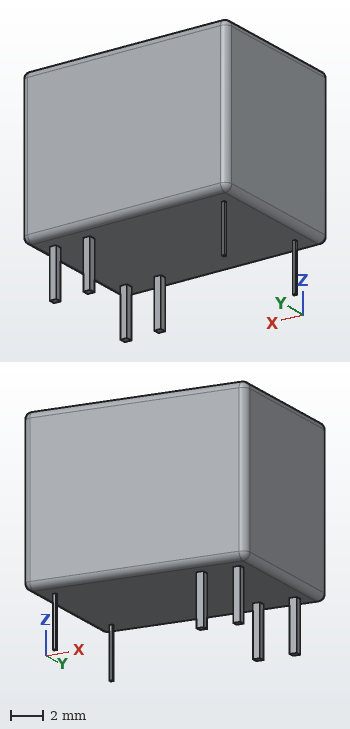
import cadquery as cq

length = 15.5
width = 11.0
pin_length = 3.6
housing_height = 15.1 - pin_length
edge_radius = 0.5

grid = 2.54
row_y = 1.5 * grid
thin_pin_x = -2.5 * grid
thick_pin_xs = (1.5 * grid, 2.5 * grid)
thin_pin_side = 0.2
thick_pin_side = 0.5
pin_embed = 2 * edge_radius


def make_housing():
    box = cq.Workplane("XY").box(length, width, housing_height, centered=(True, True, False))
    return box.edges().fillet(edge_radius)


def make_pin(x, y, side):
    """Square pin from its tip below the housing up into the housing."""
    return (
        cq.Workplane("XY", origin=(x, y, -pin_length))
        .rect(side, side)
        .extrude(pin_length + pin_embed)
    )


result = make_housing()
for y in (-row_y, row_y):
    result = result.union(make_pin(thin_pin_x, y, thin_pin_side))
    for x in thick_pin_xs:
        result = result.union(make_pin(x, y, thick_pin_side))